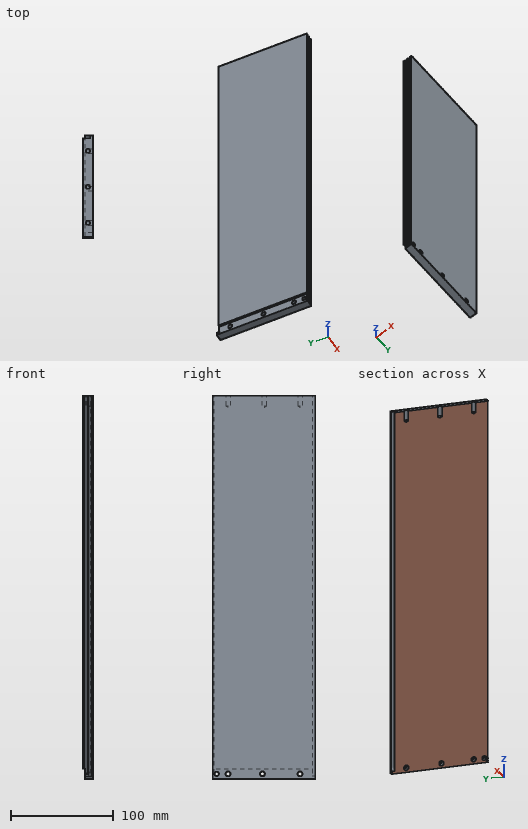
import cadquery as cq
import math

thickness = 10.0
width = 100.0
height = 373.0

foot_rebate_depth = 2.0
foot_height = 10.0

edge_rebate_depth = 3.0
lip_thickness = 3.0
edge_corner_radius = 3.5

channel_center_x = thickness / 2
channel_center_z = foot_height / 2
channel_width = 2 * (channel_center_x - foot_rebate_depth)
channel_depth = 1.2
rib_width = 1.5

foot_hole_diameter = 4.5
foot_hole_positions = (15.0, 48.5, 85.0)
cable_hole_diameter = 4.0
cable_hole_position = 4.0

end_hole_diameter = 4.0
end_hole_depth = 10.0
end_hole_tip_angle = 118.0
end_hole_positions = (15.0, 50.0, 85.0)


def box(x_range, y_range, z_range):
    """Box spanning the given (low, high) ranges."""
    size = [high - low for low, high in (x_range, y_range, z_range)]
    return (
        cq.Workplane("XY")
        .box(*size, centered=False)
        .translate((x_range[0], y_range[0], z_range[0]))
    )


def foot_rebate():
    """Full-width rebate that thins the foot from the -X side."""
    return box((0, foot_rebate_depth), (0, width), (0, foot_height))


def edge_rebate():
    """Rebate along the +Y edge with a rounded inner corner at the foot."""
    block = box(
        (0, thickness - lip_thickness),
        (width - edge_rebate_depth, width),
        (lip_thickness, height),
    )
    return block.edges(">X and <Z").fillet(edge_corner_radius)


def channel_band(band_width):
    """L-shaped band along the channel: an upright leg and a short leg out to -X."""
    half = band_width / 2
    low_z = channel_center_z - half
    right_x = channel_center_x + half
    upright = box((channel_center_x - half, right_x), (0, channel_depth), (low_z, height))
    outlet = box((0, right_x), (0, channel_depth), (low_z, channel_center_z + half))
    return upright.union(outlet)


def ribbed_channel():
    """Channel cut that leaves the middle rib standing."""
    return channel_band(channel_width).cut(channel_band(rib_width))


def foot_hole(y, diameter):
    """Hole through the foot along X."""
    return (
        cq.Workplane("YZ")
        .center(y, foot_height / 2)
        .circle(diameter / 2)
        .extrude(thickness)
    )


def end_hole(y):
    """Blind hole from the top end, with a conical tip."""
    radius = end_hole_diameter / 2
    tip_length = radius / math.tan(math.radians(end_hole_tip_angle / 2))
    outline = [
        (0, 0),
        (radius, 0),
        (radius, -end_hole_depth),
        (0, -end_hole_depth - tip_length),
    ]
    return (
        cq.Workplane("XZ")
        .polyline(outline)
        .close()
        .revolve(360, (0, 0, 0), (0, 1, 0))
        .translate((thickness / 2, y, height))
    )


result = box((0, thickness), (0, width), (0, height))
result = result.cut(foot_rebate())
result = result.cut(edge_rebate())
result = result.cut(ribbed_channel())
for y in foot_hole_positions:
    result = result.cut(foot_hole(y, foot_hole_diameter))
result = result.cut(foot_hole(cable_hole_position, cable_hole_diameter))
for y in end_hole_positions:
    result = result.cut(end_hole(y))